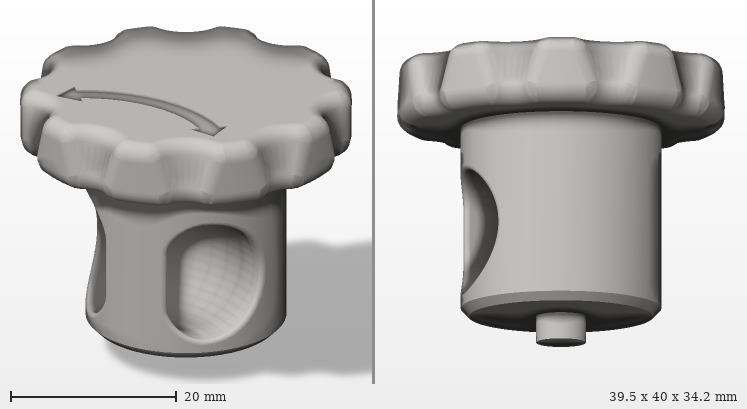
import cadquery as cq
import math

pin_diameter = 6
pin_length = 3.2
stem_diameter = 24.25
stem_length = 23.0
stem_chamfer = 1.0

knob_radius = 20
knob_height = 8
flute_count = 10
flute_center_radius = 21.85
flute_top_radius = 4.55
flute_draft = 15
knob_rounding = 2

passage_direction = -105
bend_axis_distance = 19.88
bend_inner_radius = 10.2
passage_half_height = 15.0 / 2
passage_corner_radius = 4
passage_center_height = 13.2
passage_edge_rounding = 0.5

arrow_depth = 0.3
arrow_arc_center = 23.3
arrow_inner_radius = 15.6
arrow_band_width = 2.5
arrow_tip_offset = 11.3
arrow_head_length = 2.75
arrow_head_width = 4.6

stem_top = pin_length + stem_length
knob_top = stem_top + knob_height


def make_knob():
    """Cylinder with tapered flutes around it and all its edges rounded."""
    flute_bottom_radius = flute_top_radius - knob_height * math.tan(math.radians(flute_draft))
    cone = cq.Solid.makeCone(
        flute_bottom_radius,
        flute_top_radius,
        knob_height,
        pnt=cq.Vector(flute_center_radius, 0, stem_top),
    )
    knob = cq.Workplane("XY").workplane(offset=stem_top).circle(knob_radius).extrude(knob_height)
    for index in range(flute_count):
        turn = 360 / flute_count * index
        knob = knob.cut(cq.Workplane(cone.rotate(cq.Vector(), cq.Vector(0, 0, 1), turn)))
    return knob.edges().fillet(knob_rounding)


def make_stem():
    """Round stem with a chamfered lower end."""
    stem = cq.Workplane("XY").workplane(offset=pin_length).circle(stem_diameter / 2).extrude(stem_length)
    return stem.faces("<Z").chamfer(stem_chamfer)


def make_passage():
    """D-shaped section, flat towards the bend axis, swept once around that axis."""
    straight_half = passage_half_height - passage_corner_radius
    section_center = bend_inner_radius + passage_corner_radius
    outer_radius = section_center + passage_half_height
    corner_reach = passage_corner_radius * math.sqrt(0.5)
    section = (
        cq.Workplane("XZ")
        .moveTo(bend_inner_radius, -straight_half)
        .lineTo(bend_inner_radius, straight_half)
        .threePointArc(
            (section_center - corner_reach, straight_half + corner_reach),
            (section_center, passage_half_height),
        )
        .threePointArc((outer_radius, 0), (section_center, -passage_half_height))
        .threePointArc(
            (section_center - corner_reach, -straight_half - corner_reach),
            (bend_inner_radius, -straight_half),
        )
        .close()
    )
    ring = section.revolve(360, (0, 0, 0), (0, 1, 0))
    ring = ring.translate((bend_axis_distance, 0, passage_center_height))
    return ring.rotate((0, 0, 0), (0, 0, 1), passage_direction)


def make_arrow():
    """Arc band with a triangular head, turned by 45 degrees, on each end."""
    slant = math.sqrt(0.5)
    base_center = arrow_tip_offset - arrow_head_length * slant
    barb_reach = arrow_head_width / 2 * slant
    outer_radius = arrow_inner_radius + arrow_band_width

    def neck(radius):
        gap = arrow_arc_center - 2 * base_center
        side = (math.sqrt(2 * radius**2 - gap**2) - gap) / 2
        return 2 * base_center - side, side

    def mirrored(point):
        return point[0], -point[1]

    outer_neck = neck(outer_radius)
    inner_neck = neck(arrow_inner_radius)
    outer_barb = (base_center - barb_reach, base_center + barb_reach)
    inner_barb = (base_center + barb_reach, base_center - barb_reach)
    tip = (arrow_tip_offset, arrow_tip_offset)
    arrow = (
        cq.Workplane("XY")
        .moveTo(*mirrored(outer_neck))
        .threePointArc((arrow_arc_center - outer_radius, 0), outer_neck)
        .lineTo(*outer_barb)
        .lineTo(*tip)
        .lineTo(*inner_barb)
        .lineTo(*inner_neck)
        .threePointArc((arrow_arc_center - arrow_inner_radius, 0), mirrored(inner_neck))
        .lineTo(*mirrored(inner_barb))
        .lineTo(*mirrored(tip))
        .lineTo(*mirrored(outer_barb))
        .close()
        .extrude(arrow_depth)
    )
    arrow = arrow.translate((0, 0, knob_top - arrow_depth))
    return arrow.rotate((0, 0, 0), (0, 0, 1), passage_direction)


stem = make_stem().cut(make_passage())
stem = stem.edges("%BSPLINE").fillet(passage_edge_rounding)

pin = cq.Workplane("XY").circle(pin_diameter / 2).extrude(pin_length)
result = make_knob().union(stem).union(pin).cut(make_arrow())